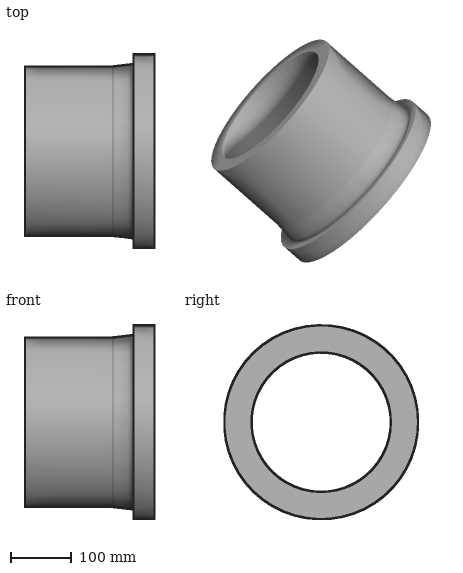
import cadquery as cq

total_length = 214.0
flange_thickness = 35.0
shoulder_length = 34.0

bore_radius = 229.2 / 2
pipe_radius = 280.0 / 2
shoulder_radius = 288.0 / 2
flange_radius = 320.0 / 2

flange_start = total_length - flange_thickness
shoulder_start = flange_start - shoulder_length

half_section = (
    cq.Workplane("XY")
    .moveTo(0, bore_radius)
    .lineTo(0, pipe_radius)
    .lineTo(shoulder_start, pipe_radius)
    .lineTo(flange_start, shoulder_radius)
    .lineTo(flange_start, flange_radius)
    .lineTo(total_length, flange_radius)
    .lineTo(total_length, bore_radius)
    .close()
)

result = half_section.revolve(360, (0, 0, 0), (1, 0, 0))